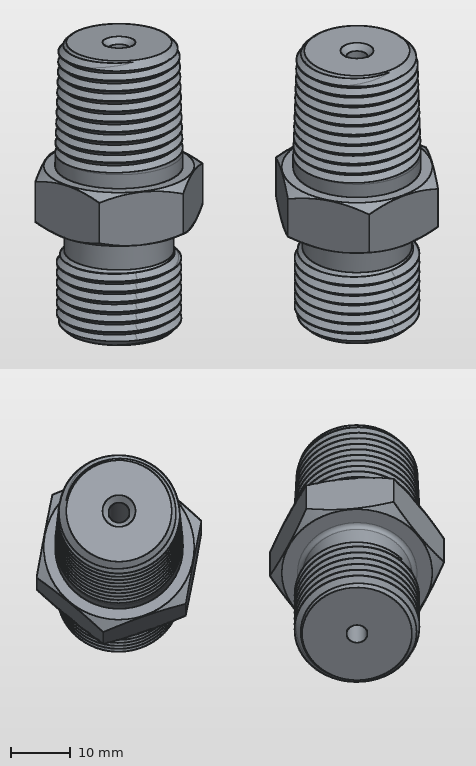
import cadquery as cq
import math

TOTAL_HEIGHT = 50.8
LOWER_THREAD_TOP = 13.5
HEX_BOTTOM = 19.05
HEX_TOP = 28.65
UPPER_THREAD_BOTTOM = 31.2

HEX_ACROSS_FLATS = 25.4
HEX_ACROSS_CORNERS = HEX_ACROSS_FLATS / math.cos(math.radians(30))
HEX_BEVEL_ANGLE = 30.0
HEX_FACE_RADIUS = 12.6

PITCH = 1.815
CREST_FLAT = 0.15
CUTTER_OVERSHOOT = 0.05
NECK_RADIUS = 9.2
NECK_FILLET = 0.8
LOWER_CREST_RADIUS = 10.45
LOWER_THREAD_DEPTH = 1.2
LOWER_CHAMFER = 1.25
LOWER_GROOVE_START = -1.65
LOWER_GROOVE_TURNS = 9
UPPER_CREST_RADIUS = 10.7
UPPER_THREAD_DEPTH = 1.05
UPPER_CHAMFER = 1.3
UPPER_TAPER = 1 / 32
UPPER_GROOVE_START = 31.7
UPPER_GROOVE_START_ANGLE = -150.0
UPPER_GROOVE_TURNS = 12

BORE_DIAMETER = 3.5
COUNTERSINK_DIAMETER = 5.55
COUNTERSINK_ANGLE = 90.0
VENT_DIAMETER = 2.5
VENT_SLOPE = 53.0
VENT_HEIGHT = 11.75
VENT_LEAD = 5.1


def upper_radius(z):
    """Crest radius of the tapered thread at height z."""
    return UPPER_CREST_RADIUS - UPPER_TAPER * (z - UPPER_THREAD_BOTTOM)


def make_turned_body():
    """Revolved blank: lower thread, neck, collar and tapered upper thread."""
    lower_end_radius = LOWER_CREST_RADIUS - LOWER_CHAMFER
    neck_step = LOWER_CREST_RADIUS - NECK_RADIUS
    chamfer_bottom = TOTAL_HEIGHT - UPPER_CHAMFER
    chamfer_radius = upper_radius(chamfer_bottom)
    profile = (
        cq.Workplane("XZ")
        .moveTo(0, 0)
        .lineTo(lower_end_radius, 0)
        .lineTo(LOWER_CREST_RADIUS, LOWER_CHAMFER)
        .lineTo(LOWER_CREST_RADIUS, LOWER_THREAD_TOP - neck_step)
        .lineTo(NECK_RADIUS, LOWER_THREAD_TOP)
        .lineTo(NECK_RADIUS, HEX_BOTTOM - NECK_FILLET)
        .radiusArc((NECK_RADIUS + NECK_FILLET, HEX_BOTTOM), NECK_FILLET)
        .lineTo(UPPER_CREST_RADIUS, HEX_BOTTOM)
        .lineTo(UPPER_CREST_RADIUS, UPPER_THREAD_BOTTOM)
        .lineTo(chamfer_radius, chamfer_bottom)
        .lineTo(chamfer_radius - UPPER_CHAMFER, TOTAL_HEIGHT)
        .lineTo(0, TOTAL_HEIGHT)
        .close()
    )
    return profile.revolve(360, (0, 0), (0, 1))


def make_hexagon():
    """Hexagon with corners on Y, its corners bevelled at both ends."""
    corner_radius = HEX_ACROSS_CORNERS / 2
    bevel_drop = (corner_radius - HEX_FACE_RADIUS) * math.tan(math.radians(HEX_BEVEL_ANGLE))
    prism = (
        cq.Workplane("XY", origin=(0, 0, HEX_BOTTOM))
        .polygon(6, HEX_ACROSS_CORNERS)
        .extrude(HEX_TOP - HEX_BOTTOM)
        .rotate((0, 0, 0), (0, 0, 1), 90)
    )
    bevelled_disc = (
        cq.Workplane("XZ")
        .moveTo(0, HEX_BOTTOM)
        .lineTo(HEX_FACE_RADIUS, HEX_BOTTOM)
        .lineTo(corner_radius, HEX_BOTTOM + bevel_drop)
        .lineTo(corner_radius, HEX_TOP - bevel_drop)
        .lineTo(HEX_FACE_RADIUS, HEX_TOP)
        .lineTo(0, HEX_TOP)
        .close()
        .revolve(360, (0, 0), (0, 1))
    )
    return prism.intersect(bevelled_disc)


def make_helix_turn(radius, base_height, taper):
    """One full turn of a helix that starts on the +X side."""
    if taper == 0:
        turn = cq.Wire.makeHelix(PITCH, PITCH, radius)
    else:
        cone_angle = math.atan(taper)
        slant_pitch = PITCH / math.cos(cone_angle)
        turn = cq.Wire.makeHelix(slant_pitch, slant_pitch, radius, angle=math.degrees(cone_angle))
    return turn.translate(cq.Vector(0, 0, base_height)).Edges()[0]


def make_groove(crest_radius, depth, turns, taper=0.0):
    """V-groove cutter winding up from z = 0 at +X, its radius growing by taper per unit of height."""
    half_mouth = (PITCH - CREST_FLAT) / 2
    outer_radius = crest_radius + CUTTER_OVERSHOOT
    half_cutter = half_mouth * (depth + CUTTER_OVERSHOOT) / depth
    path = cq.Wire.assembleEdges(
        [make_helix_turn(crest_radius + taper * PITCH * turn, PITCH * turn, taper) for turn in range(turns)]
    )
    section = (
        cq.Workplane("XZ")
        .moveTo(crest_radius - depth, 0)
        .lineTo(outer_radius, half_cutter)
        .lineTo(outer_radius, -half_cutter)
        .close()
    )
    return section.sweep(cq.Workplane(path), isFrenet=True)


def make_lower_groove():
    """Straight thread groove, entering below the end face and running out at the neck."""
    groove = make_groove(LOWER_CREST_RADIUS, LOWER_THREAD_DEPTH, LOWER_GROOVE_TURNS)
    return groove.translate((0, 0, LOWER_GROOVE_START))


def make_upper_groove():
    """Tapered thread groove, wound from its narrow end above the top face down to the collar."""
    groove_top = UPPER_GROOVE_START + PITCH * UPPER_GROOVE_TURNS
    groove = make_groove(
        upper_radius(groove_top),
        UPPER_THREAD_DEPTH,
        UPPER_GROOVE_TURNS,
        UPPER_TAPER,
    )
    return (
        groove.rotate((0, 0, 0), (1, 0, 0), 180)
        .rotate((0, 0, 0), (0, 0, 1), UPPER_GROOVE_START_ANGLE)
        .translate((0, 0, groove_top))
    )


def drill_bore(body):
    """Through bore with a countersink in the top face."""
    return (
        body.faces(">Z")
        .workplane(origin=(0, 0, TOTAL_HEIGHT))
        .cskHole(BORE_DIAMETER, COUNTERSINK_DIAMETER, COUNTERSINK_ANGLE)
    )


def make_vent():
    """Slanted vent entering at the neck on the -X side and falling to the wall of the bore."""
    slope = math.radians(VENT_SLOPE)
    direction = cq.Vector(math.cos(slope), 0, -math.sin(slope))
    start = cq.Vector(-NECK_RADIUS, 0, VENT_HEIGHT) - direction * VENT_LEAD
    length = VENT_LEAD + (NECK_RADIUS - BORE_DIAMETER / 2) / math.cos(slope)
    return cq.Workplane(cq.Solid.makeCylinder(VENT_DIAMETER / 2, length, start, direction))


body = make_turned_body().cut(make_lower_groove()).cut(make_upper_groove())
body = body.union(make_hexagon())
result = drill_bore(body).cut(make_vent())